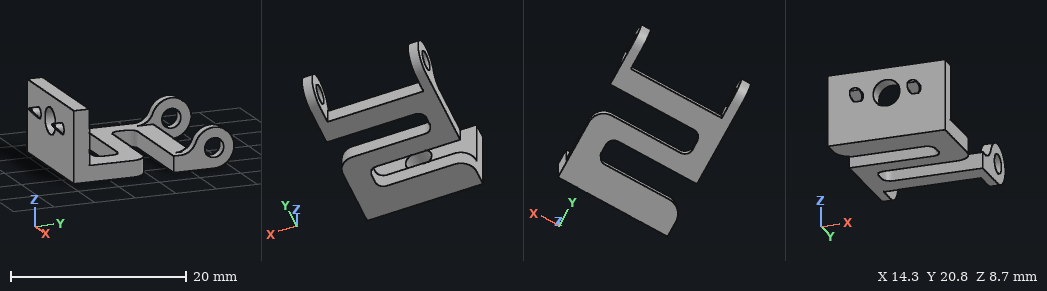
import cadquery as cq
import math

WIDTH = 14.3
PLATE_THICKNESS = 1.95
PLATE_HEIGHT = 8.7
BASE_THICKNESS = 2.0
BASE_END_Y = 15.05

PLATE_HOLE_DIAMETER = 3.2
PLATE_HOLE_Z = 5.6
PIN_DIAMETER = 1.4
PIN_LENGTH = 1.0
PIN_SPACING = 7.0
PIN_TIP_HEIGHT = 0.3

SLOT_WIDTH = 3.05
FRONT_SLOT_Y = 3.9
REAR_SLOT_Y = 9.25
FRONT_SLOT_WALL = 3.0
REAR_SLOT_WALL = 2.4
SLOT_CORNER_RADIUS = 1.0
BEND_RADIUS = FRONT_SLOT_Y - PLATE_THICKNESS

LUG_THICKNESS = 1.25
LUG_RADIUS = 2.45
LUG_HOLE_DIAMETER = 2.3
LUG_END_Y = 19.75
LUG_FILLET_RADIUS = 2.0

HALF_WIDTH = WIDTH / 2


def make_plate():
    """Upright plate with its through hole."""
    plate = cq.Workplane("XY").box(
        WIDTH, PLATE_THICKNESS, PLATE_HEIGHT, centered=(True, False, False)
    )
    hole = (
        cq.Workplane("XZ")
        .center(0, PLATE_HOLE_Z)
        .circle(PLATE_HOLE_DIAMETER / 2)
        .extrude(-PLATE_THICKNESS)
    )
    return plate.cut(hole)


def make_pin(x):
    """Locating pin whose underside is cut away at 45 degrees towards the tip."""
    radius = PIN_DIAMETER / 2
    top_z = PLATE_HOLE_Z + radius
    tip_z = top_z - PIN_TIP_HEIGHT
    pin = cq.Workplane("XZ").center(x, PLATE_HOLE_Z).circle(radius).extrude(PIN_LENGTH)
    kept_wedge = (
        cq.Workplane("YZ", origin=(x - radius, 0, 0))
        .moveTo(0, top_z)
        .lineTo(-PIN_LENGTH, top_z)
        .lineTo(-PIN_LENGTH, tip_z)
        .lineTo(0, tip_z - PIN_LENGTH)
        .close()
        .extrude(PIN_DIAMETER)
    )
    return pin.intersect(kept_wedge)


def make_slot(side, start_y, wall):
    """Slot cutter open at one side (+1 or -1 in X), leaving a wall at the other side."""
    length = WIDTH - wall
    center_x = side * wall / 2
    slot = cq.Workplane("XY").box(length, SLOT_WIDTH, BASE_THICKNESS, centered=(True, False, False))
    closed_end = "<X" if side > 0 else ">X"
    slot = slot.faces(closed_end).edges("|Z").fillet(SLOT_CORNER_RADIUS)
    return slot.translate((center_x, start_y, 0))


def make_base():
    """Flat base with two opposed slots and rounded outer bends."""
    base = cq.Workplane("XY").box(WIDTH, BASE_END_Y, BASE_THICKNESS, centered=(True, False, False))
    base = base.cut(make_slot(-1, FRONT_SLOT_Y, FRONT_SLOT_WALL))
    base = base.cut(make_slot(1, REAR_SLOT_Y, REAR_SLOT_WALL))
    for x, y in ((-HALF_WIDTH, FRONT_SLOT_Y), (HALF_WIDTH, REAR_SLOT_Y)):
        corner = cq.selectors.NearestToPointSelector((x, y, BASE_THICKNESS / 2))
        base = base.edges("|Z").edges(corner).fillet(BEND_RADIUS)
    return base


def make_lug(start_x):
    """Hinge lug: a round eye blended into the top of the base by a concave fillet."""
    eye_y = LUG_END_Y - LUG_RADIUS
    eye_z = LUG_RADIUS
    fillet_z = BASE_THICKNESS + LUG_FILLET_RADIUS
    center_distance = LUG_RADIUS + LUG_FILLET_RADIUS
    fillet_y = eye_y - math.sqrt(center_distance**2 - (fillet_z - eye_z) ** 2)
    blend_angle = math.atan2(fillet_z - eye_z, fillet_y - eye_y)
    blend_point = (
        eye_y + LUG_RADIUS * math.cos(blend_angle),
        eye_z + LUG_RADIUS * math.sin(blend_angle),
    )
    fillet_mid_angle = (blend_angle - math.pi - math.pi / 2) / 2
    fillet_mid = (
        fillet_y + LUG_FILLET_RADIUS * math.cos(fillet_mid_angle),
        fillet_z + LUG_FILLET_RADIUS * math.sin(fillet_mid_angle),
    )
    return (
        cq.Workplane("YZ", origin=(start_x, 0, 0))
        .moveTo(fillet_y, 0)
        .lineTo(eye_y, 0)
        .threePointArc((LUG_END_Y, eye_z), blend_point)
        .threePointArc(fillet_mid, (fillet_y, BASE_THICKNESS))
        .close()
        .moveTo(eye_y, eye_z)
        .circle(LUG_HOLE_DIAMETER / 2)
        .extrude(LUG_THICKNESS)
    )


result = make_plate().union(make_base())
for pin_x in (-PIN_SPACING / 2, PIN_SPACING / 2):
    result = result.union(make_pin(pin_x))
for lug_x in (-HALF_WIDTH, HALF_WIDTH - LUG_THICKNESS):
    result = result.union(make_lug(lug_x))